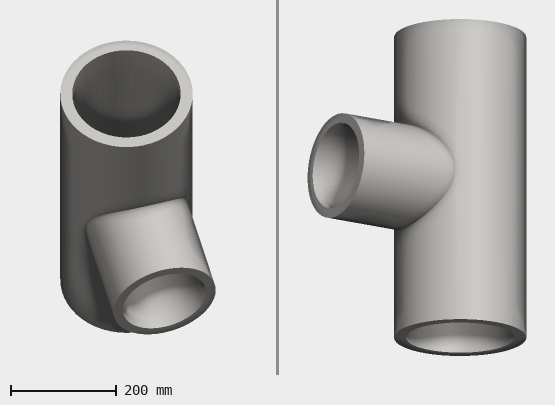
import cadquery as cq

main_length = 590.0
main_diameter = 250.0
main_bore = 205.0

branch_diameter = 200.0
branch_reach = 278.0
branch_height = main_length / 2

branch_bore = branch_diameter * main_bore / main_diameter


def main_cylinder(diameter):
    return cq.Workplane("XY").circle(diameter / 2).extrude(main_length)


def branch_cylinder(diameter):
    plane = cq.Workplane("YZ", origin=(0, 0, branch_height))
    return plane.circle(diameter / 2).extrude(branch_reach)


body = main_cylinder(main_diameter).union(branch_cylinder(branch_diameter))
bores = main_cylinder(main_bore).union(branch_cylinder(branch_bore))

result = body.cut(bores)